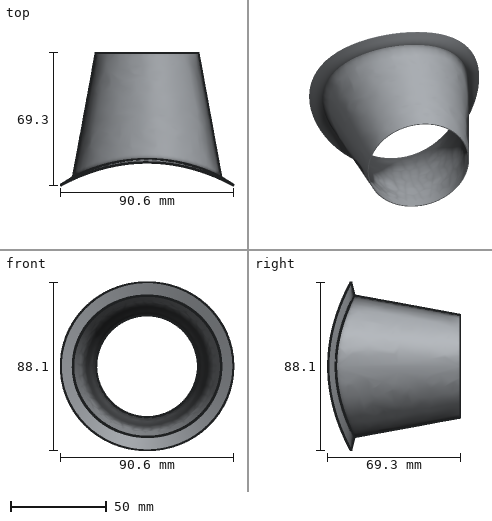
import cadquery as cq
import math

sheet = 0.5
small_end_radius = 27.0
cone_angle = math.radians(10.4)

saddle_radius = 84.0
saddle_depth = 55.3

rim_half_x = 90.55 / 2
rim_half_z = 88.07 / 2
rim_bend_radius = 92.0
rim_side_depth = 68.9

points_per_loop = 48

cone_slope = math.tan(cone_angle)
wall_radial = sheet / math.cos(cone_angle)
rim_centre_depth = rim_side_depth + math.sqrt(rim_bend_radius**2 - rim_half_x**2)


def wall_radius(depth):
    """Outer radius of the cone at a depth."""
    return small_end_radius + cone_slope * depth


def mouth_depth(angle):
    """Depth where the outer cone line at this angle meets the saddle cylinder."""
    cosine = math.cos(angle)
    centre = saddle_depth + saddle_radius
    a = 1 + (cone_slope * cosine) ** 2
    half_b = small_end_radius * cone_slope * cosine**2 - centre
    c = centre**2 - saddle_radius**2 + (small_end_radius * cosine) ** 2
    return (-half_b - math.sqrt(half_b**2 - a * c)) / a


def rim_point(angle):
    """Radius and depth of the back edge of the rim."""
    x = rim_half_x * math.cos(angle)
    z = rim_half_z * math.sin(angle)
    depth = rim_centre_depth - math.sqrt(rim_bend_radius**2 - x**2)
    return math.hypot(x, z), depth


def section(angle):
    """Corners (radius, depth) of the sheet section in the half plane at this angle."""
    root_depth = mouth_depth(angle)
    root_radius = wall_radius(root_depth)
    rim_radius, rim_depth = rim_point(angle)
    tilt = math.atan2(rim_depth - root_depth, rim_radius - root_radius)
    rim_front = (rim_radius - sheet * math.sin(tilt), rim_depth + sheet * math.cos(tilt))
    mouth_end_depth = root_depth + sheet / math.cos(tilt)
    mouth_end_radius = wall_radius(mouth_end_depth)
    return [
        (small_end_radius - wall_radial, 0),
        (small_end_radius, 0),
        (root_radius, root_depth),
        (rim_radius, rim_depth),
        rim_front,
        (mouth_end_radius, mouth_end_depth),
        (mouth_end_radius - wall_radial, mouth_end_depth),
    ]


def closed_edge(corner):
    """Closed spline through one section corner all the way round the Y axis."""
    points = []
    for i in range(points_per_loop):
        angle = 2 * math.pi * i / points_per_loop
        radius, depth = section(angle)[corner]
        points.append(cq.Vector(radius * math.cos(angle), -depth, radius * math.sin(angle)))
    return cq.Edge.makeSpline(points, periodic=True)


edges = [closed_edge(corner) for corner in range(len(section(0)))]
faces = [cq.Face.makeRuledSurface(edges[i - 1], edges[i]) for i in range(len(edges))]
result = cq.Workplane(cq.Solid.makeSolid(cq.Shell.makeShell(faces)))